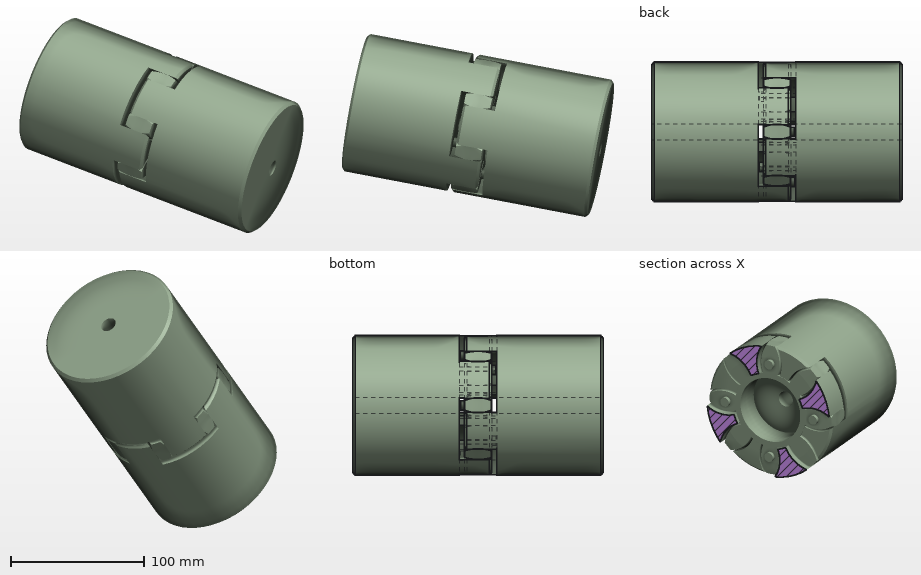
import cadquery as cq
import math

outer_radius = 52.5
hub_length = 80.0
hub_gap = 28.0
bore_radius = 6.0
end_chamfer = 2.0

spider_width = 21.0
leg_taper_length = 0.5
leg_taper_depth = 10.0
spider_radius = 52.0
spider_hole_radius = 25.5
pip_radius = 3.6
pip_circle_radius = 37.5
pip_height = 2.8

claw_count = 4
claw_inner_radius = 30.0
claw_tip_x = 10.2
claw_tip_chamfer = 1.8

seat_arc_radius = 25.0
seat_half_width = 9.65
seat_circle_radius = 38.2
leg_crown = 1.8

face_x = hub_gap / 2
spider_end_x = spider_width / 2
leg_count = 2 * claw_count
leg_pitch = 360.0 / leg_count
claw_length = face_x + claw_tip_x
arc_centre_offset = seat_arc_radius - seat_half_width


def disc(radius, start_x, length):
    """Cylinder about the X axis."""
    return cq.Workplane("YZ").workplane(offset=start_x).circle(radius).extrude(length)


def turned_about_x(body, angle):
    return body.rotate((0, 0, 0), (1, 0, 0), angle)


def lens(flank):
    """Common part of a flank solid placed at both arc centres of the seat along +Y."""
    upper = flank.translate((0, seat_circle_radius, arc_centre_offset))
    lower = flank.translate((0, seat_circle_radius, -arc_centre_offset))
    return upper.intersect(lower)


def crowned_barrel():
    """Barrel about X, full radius at mid-width and smaller at both ends."""
    end_radius = seat_arc_radius - leg_crown
    return (
        cq.Workplane("XY")
        .moveTo(-spider_end_x, 0)
        .lineTo(-spider_end_x, end_radius)
        .threePointArc((0, seat_arc_radius), (spider_end_x, end_radius))
        .lineTo(spider_end_x, 0)
        .close()
        .revolve(360, (0, 0, 0), (1, 0, 0))
    )


def make_claws():
    """Four claws standing on the left hub face, with bevelled outer tips."""
    ring = disc(outer_radius, -face_x, claw_length).faces(">X").chamfer(claw_tip_chamfer)
    ring = ring.cut(disc(claw_inner_radius, -face_x, claw_length))
    seat = lens(disc(seat_arc_radius, -face_x, claw_length))
    far = 2 * outer_radius
    half_span = math.radians(leg_pitch / 2)
    opening = (
        cq.Workplane("YZ")
        .workplane(offset=-face_x)
        .lineTo(far * math.cos(half_span), -far * math.sin(half_span))
        .lineTo(far * math.cos(half_span), far * math.sin(half_span))
        .close()
        .extrude(claw_length)
    )
    for leg in range(leg_count):
        ring = ring.cut(turned_about_x(seat, leg * leg_pitch))
    for claw in range(claw_count):
        ring = ring.cut(turned_about_x(opening, (2 * claw + 0.5) * leg_pitch))
    return ring


def make_left_hub():
    barrel = disc(outer_radius, -face_x - hub_length, hub_length)
    barrel = barrel.faces("<X").chamfer(end_chamfer)
    barrel = barrel.cut(disc(bore_radius, -face_x - hub_length, hub_length))
    return barrel.union(make_claws())


def make_right_hub():
    """The same hub turned end for end, its claws between those of the left hub."""
    return make_left_hub().rotate((0, 0, 0), (0, 0, 1), 180)


def make_spider():
    ring = disc(claw_inner_radius, -spider_end_x, spider_width)
    envelope = disc(spider_radius, -spider_end_x, spider_width)
    envelope = envelope.faces("<X or >X").chamfer(leg_taper_length, leg_taper_depth)
    leg = lens(crowned_barrel()).intersect(envelope)
    for index in range(leg_count):
        pip_start = -spider_end_x - pip_height if index % 2 == 0 else spider_end_x
        pip = disc(pip_radius, pip_start, pip_height).translate((0, pip_circle_radius, 0))
        ring = ring.union(turned_about_x(leg.union(pip), index * leg_pitch))
    return ring.cut(disc(spider_hole_radius, -spider_end_x, spider_width))


left_hub = make_left_hub()
right_hub = make_right_hub()
spider = make_spider()

result = cq.Compound.makeCompound([left_hub.val(), right_hub.val(), spider.val()])